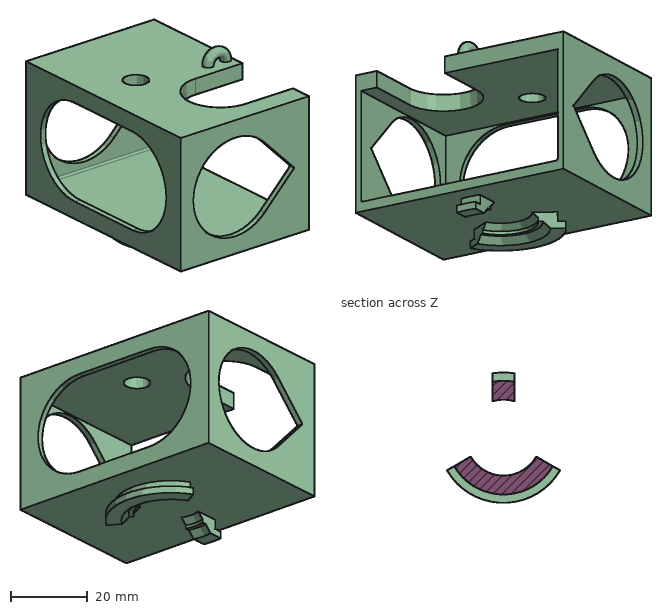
import cadquery as cq
import math

length = 64.0
depth = 43.0
height = 38.0
side_wall = 1.7
front_wall = 1.7
top_thickness = 4.6
floor_thickness = 2.7
floor_fillet = 0.6

opening_radius = 14.0
front_opening_length = 51.9
teardrop_y = -3.25

notch_x = 15.0
notch_width = 20.85
notch_end_y = -4.85
hole_x = -4.5
hole_y = -7.0
hole_diameter = 7.0

loop_y = 16.5
loop_radius = 2.95
loop_wire_radius = 1.55

mount_y = 1.4
neck_radius = 14.85
flange_radius = 17.0
neck_height = 2.55
flange_height = 1.9
neck_bore_top = 8.2
neck_bore_bottom = 9.85
flange_bore_top = 11.0
front_lug_half_angle = 60.0
rear_lug_width = 5.75

mid_z = height / 2
mount_height = neck_height + flange_height


def make_box():
    outer = cq.Workplane("XY").box(length, depth, height, centered=(True, True, False))
    cavity_depth = depth - front_wall
    cavity_height = height - top_thickness - floor_thickness
    cavity = (
        cq.Workplane("XY")
        .box(length - 2 * side_wall, cavity_depth, cavity_height, centered=(True, True, False))
        .translate((0, front_wall / 2, floor_thickness))
        .edges("|Y and <Z")
        .fillet(floor_fillet)
    )
    return outer.cut(cavity)


def make_front_opening():
    return (
        cq.Workplane("XZ", origin=(0, -depth / 2 + front_wall, mid_z))
        .slot2D(front_opening_length, 2 * opening_radius)
        .extrude(front_wall)
    )


def make_teardrop():
    tangent = opening_radius * math.sqrt(0.5)
    return (
        cq.Workplane("YZ", origin=(-length / 2, teardrop_y, mid_z))
        .moveTo(2 * tangent, 0)
        .lineTo(tangent, tangent)
        .threePointArc((-opening_radius, 0), (tangent, -tangent))
        .close()
        .extrude(length)
    )


def make_notch():
    radius = notch_width / 2
    arc_y = notch_end_y + radius
    return (
        cq.Workplane("XY", origin=(notch_x, 0, height - top_thickness))
        .moveTo(-radius, depth / 2)
        .lineTo(-radius, arc_y)
        .threePointArc((0, notch_end_y), (radius, arc_y))
        .lineTo(radius, depth / 2)
        .close()
        .extrude(top_thickness)
    )


def make_hole():
    return (
        cq.Workplane("XY", origin=(hole_x, hole_y, height - top_thickness))
        .circle(hole_diameter / 2)
        .extrude(top_thickness)
    )


def make_loop():
    return (
        cq.Workplane("XY", origin=(0, loop_y + loop_radius, height))
        .circle(loop_wire_radius)
        .revolve(180, (0, -loop_radius, 0), (1, -loop_radius, 0))
    )


def make_lugs():
    flare_height = neck_bore_bottom - neck_bore_top
    ring = (
        cq.Workplane("XZ", origin=(0, mount_y, 0))
        .moveTo(neck_bore_top, 0)
        .lineTo(neck_radius, 0)
        .lineTo(neck_radius, -neck_height)
        .lineTo(flange_radius, -neck_height)
        .lineTo(flange_radius, -mount_height)
        .lineTo(flange_bore_top + flange_height, -mount_height)
        .lineTo(flange_bore_top, -neck_height)
        .lineTo(neck_bore_bottom, -neck_height)
        .lineTo(neck_bore_bottom, -flare_height)
        .close()
        .revolve(360, (0, 0, 0), (0, 1, 0))
    )
    reach = 2 * flange_radius
    half_width = reach * math.tan(math.radians(front_lug_half_angle))
    front_sector = (
        cq.Workplane("XY", origin=(0, mount_y, -mount_height))
        .polyline([(0, 0), (-half_width, -reach), (half_width, -reach)])
        .close()
        .extrude(mount_height)
    )
    rear_strip = (
        cq.Workplane("XY", origin=(0, mount_y, -mount_height))
        .rect(rear_lug_width, reach)
        .extrude(mount_height)
        .intersect(
            cq.Workplane("XY", origin=(0, mount_y + reach / 2, -mount_height))
            .rect(reach, reach)
            .extrude(mount_height)
        )
    )
    return [ring.intersect(front_sector), ring.intersect(rear_strip)]


result = make_box()
for opening in (make_front_opening(), make_teardrop(), make_notch(), make_hole()):
    result = result.cut(opening)
for addition in [make_loop()] + make_lugs():
    result = result.union(addition)